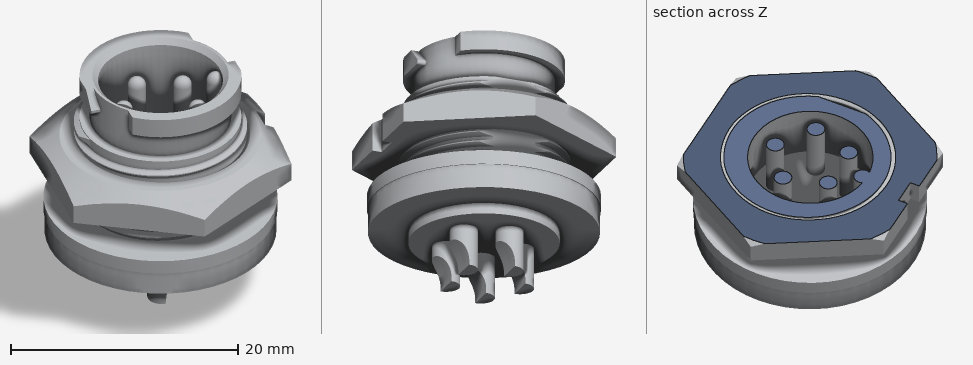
import cadquery as cq
import math

TAIL_BOTTOM = -8.3
BOSS_BOTTOM = -4.5
FLANGE_BOTTOM = -3.5
FLANGE_STEP = -1.3
NUT_BOTTOM = 3.12
NUT_TOP = 6.51
THREAD_TOP = 8.43
RING_BOTTOM = 11.0
RIM_TOP = TAIL_BOTTOM + 21.11

FLANGE_RADIUS = 10.31
FLANGE_LOWER_RADIUS = 10.22
BOSS_RADIUS = 6.67
ROOT_RADIUS = 7.13
NECK_RADIUS = 6.24
RING_RADIUS = 7.13
BORE_RADIUS = 5.5
BORE_FLOOR = 0.0
BORE_CHAMFER = 0.5

PITCH = 0.94
CREST_RADIUS = 7.63
CREST_WIDTH = 0.1
FLANK_ANGLE = 30.0
HOUSING_THREAD_TURNS = 9
THREAD_END_X = 1.3
THREAD_END_Z = THREAD_TOP - 0.43
THREAD_OVERLAP = 0.15
THREAD_FLAT_X = -6.87

RING_FLAT_Y = 6.94
GAP_END_Y = 4.55
CATCH_WIDTH = 1.37
CATCH_TIP_HEIGHT = 0.4
CATCH_TIP_ROUND = 0.2

CONTACT_COUNT = 5
CONTACT_CIRCLE_RADIUS = 3.43
CONTACT_RADIUS = 0.8
CONTACT_TOP = RIM_TOP - 2.06
KEY_Y = 5.15
KEY_TOP = RIM_TOP - 0.87
TAIL_RADIUS = 1.25
TAIL_CUT_RADIUS = 2.6
TAIL_CUT_CENTRE_Z = TAIL_BOTTOM + 0.35

PIT_X = -1.17
PIT_Y = 4.28
PIT_SIZE = 0.2

NUT_ACROSS_CORNERS = 23.46
NUT_TOP_RADIUS = 8.9
NUT_CHAMFER_ANGLE = 30.0
NUT_BORE_RADIUS = 7.5
NUT_GROOVE_RADIUS = 7.88
NUT_THREAD_TURNS = 6
NOTCH_WIDTH = 2.3
NOTCH_FLOOR_Y = 9.28


def cylinder(radius, bottom, top):
    return cq.Workplane("XY", origin=(0, 0, bottom)).circle(radius).extrude(top - bottom)


def make_turned_shell():
    shell = cylinder(FLANGE_RADIUS, FLANGE_STEP, 0)
    shell = shell.union(cylinder(FLANGE_LOWER_RADIUS, FLANGE_BOTTOM, FLANGE_STEP))
    shell = shell.union(cylinder(BOSS_RADIUS, BOSS_BOTTOM, FLANGE_BOTTOM))
    shell = shell.union(cylinder(ROOT_RADIUS, 0, THREAD_TOP))
    return shell.union(cylinder(NECK_RADIUS, THREAD_TOP, RIM_TOP))


def make_helical_thread(base_radius, crest_radius, turns):
    """Helical ridge on a cylinder of base_radius, sunk a little below it, ending on the -Y side."""
    height = turns * PITCH
    sunk_radius = base_radius - THREAD_OVERLAP
    half_crest = CREST_WIDTH / 2
    half_base = half_crest + (crest_radius - sunk_radius) * math.tan(math.radians(FLANK_ANGLE))
    helix = cq.Wire.makeHelix(PITCH, height, base_radius)
    ridge = (
        cq.Workplane("XZ")
        .moveTo(sunk_radius, -half_base)
        .lineTo(crest_radius, -half_crest)
        .lineTo(crest_radius, half_crest)
        .lineTo(sunk_radius, half_base)
        .close()
        .sweep(cq.Workplane(obj=helix), isFrenet=True)
    )
    end_angle = math.degrees(math.asin(THREAD_END_X / ROOT_RADIUS)) - 90
    return ridge.rotate((0, 0, 0), (0, 0, 1), end_angle).translate((0, 0, THREAD_END_Z - height))


def make_housing_thread():
    """Ridge that starts inside the flange and runs out to the root on the -Y side."""
    ridge = make_helical_thread(ROOT_RADIUS, CREST_RADIUS, HOUSING_THREAD_TURNS)

    end_y = -math.sqrt(ROOT_RADIUS**2 - THREAD_END_X**2)
    outside_y = end_y - 2 * (CREST_RADIUS - ROOT_RADIUS)
    runout = (
        cq.Workplane("XY", origin=(0, 0, THREAD_END_Z - PITCH / 2))
        .moveTo(0, -CREST_RADIUS)
        .lineTo(THREAD_END_X, end_y)
        .lineTo(2 * THREAD_END_X, end_y)
        .lineTo(2 * THREAD_END_X, outside_y)
        .lineTo(0, outside_y)
        .close()
        .extrude(PITCH)
    )
    return ridge.cut(runout)


def make_thread_flat_cut():
    width = 2 * CREST_RADIUS
    return cq.Workplane("XY").box(width, width, THREAD_TOP, centered=(True, True, False)).translate(
        (THREAD_FLAT_X - width / 2, 0, 0)
    )


def make_ring_gap():
    """Gap on the +Y side, from the catch at its right end to the flat segment end at its left."""
    round_inset = CATCH_TIP_ROUND * (1 - math.sqrt(0.5))
    slope = (
        cq.Workplane("XZ")
        .moveTo(0, RIM_TOP)
        .lineTo(-CATCH_WIDTH, RING_BOTTOM + CATCH_TIP_HEIGHT)
        .lineTo(-CATCH_WIDTH, RING_BOTTOM + CATCH_TIP_ROUND)
        .threePointArc(
            (-CATCH_WIDTH + round_inset, RING_BOTTOM + round_inset),
            (-CATCH_WIDTH + CATCH_TIP_ROUND, RING_BOTTOM),
        )
        .lineTo(-RING_RADIUS, RING_BOTTOM)
        .lineTo(-RING_RADIUS, RIM_TOP)
        .close()
        .extrude(-2 * RING_RADIUS)
    )
    beyond_end = cq.Workplane("XY", origin=(0, GAP_END_Y, RING_BOTTOM)).box(
        4 * RING_RADIUS, RING_RADIUS, RIM_TOP - RING_BOTTOM, centered=(True, False, False)
    )
    return slope.intersect(beyond_end)


def make_bayonet_ring():
    height = RIM_TOP - RING_BOTTOM
    ring = cylinder(RING_RADIUS, RING_BOTTOM, RIM_TOP)
    ring = ring.intersect(
        cq.Workplane("XY", origin=(0, 0, RING_BOTTOM)).box(
            2 * RING_RADIUS, 2 * RING_FLAT_Y, height, centered=(True, True, False)
        )
    )
    for turn in (0, 180):
        ring = ring.cut(make_ring_gap().rotate((0, 0, 0), (0, 0, 1), turn))
    return ring


def make_bore():
    bore = cylinder(BORE_RADIUS, BORE_FLOOR, RIM_TOP)
    mouth = (
        cq.Workplane("XY", origin=(0, 0, RIM_TOP))
        .circle(BORE_RADIUS + BORE_CHAMFER)
        .workplane(offset=-BORE_CHAMFER)
        .circle(BORE_RADIUS)
        .loft()
    )
    return bore.union(mouth)


def make_domed_pin(x, y, top):
    pin = cylinder(CONTACT_RADIUS, BORE_FLOOR, top - CONTACT_RADIUS)
    dome = cq.Workplane("XY", origin=(0, 0, top - CONTACT_RADIUS)).sphere(CONTACT_RADIUS)
    return pin.union(dome).translate((x, y, 0))


def make_solder_tail(x, y):
    """Round tail whose +Y half is scooped away towards the free end."""
    tail = cylinder(TAIL_RADIUS, TAIL_BOTTOM, BOSS_BOTTOM)
    middle = TAIL_CUT_RADIUS * math.sqrt(0.5)
    scoop = (
        cq.Workplane("YZ", origin=(-TAIL_RADIUS, 0, 0))
        .moveTo(0, TAIL_BOTTOM)
        .lineTo(0, TAIL_CUT_CENTRE_Z)
        .threePointArc(
            (TAIL_CUT_RADIUS - middle, TAIL_CUT_CENTRE_Z + middle),
            (TAIL_CUT_RADIUS, TAIL_CUT_CENTRE_Z + TAIL_CUT_RADIUS),
        )
        .lineTo(TAIL_CUT_RADIUS, TAIL_BOTTOM)
        .close()
        .extrude(2 * TAIL_RADIUS)
    )
    return tail.cut(scoop).translate((x, y, 0))


def make_index_pit():
    return cq.Workplane("XY", origin=(PIT_X, PIT_Y, BORE_FLOOR)).rect(PIT_SIZE, PIT_SIZE).extrude(-PIT_SIZE)


def make_housing():
    housing = make_turned_shell().union(make_housing_thread())
    housing = housing.cut(make_thread_flat_cut())
    housing = housing.union(make_bayonet_ring())
    housing = housing.cut(make_bore()).cut(make_index_pit())
    for index in range(CONTACT_COUNT):
        angle = math.radians(-90 + index * 360 / CONTACT_COUNT)
        x = CONTACT_CIRCLE_RADIUS * math.cos(angle)
        y = CONTACT_CIRCLE_RADIUS * math.sin(angle)
        housing = housing.union(make_domed_pin(x, y, CONTACT_TOP))
        housing = housing.union(make_solder_tail(x, y))
    return housing.union(make_domed_pin(0, KEY_Y, KEY_TOP))


def make_nut():
    """Hexagon nut whose thread groove follows the housing thread with clearance all round."""
    height = NUT_TOP - NUT_BOTTOM
    corner_radius = NUT_ACROSS_CORNERS / 2
    corner_drop = (corner_radius - NUT_TOP_RADIUS) * math.tan(math.radians(NUT_CHAMFER_ANGLE))
    hexagon = cq.Workplane("XY", origin=(0, 0, NUT_BOTTOM)).polygon(6, NUT_ACROSS_CORNERS).extrude(height)
    chamfered_blank = (
        cq.Workplane("XZ")
        .moveTo(0, NUT_BOTTOM)
        .lineTo(corner_radius, NUT_BOTTOM)
        .lineTo(corner_radius, NUT_TOP - corner_drop)
        .lineTo(NUT_TOP_RADIUS, NUT_TOP)
        .lineTo(0, NUT_TOP)
        .close()
        .revolve(360, (0, 0, 0), (0, 1, 0))
    )
    notch = cq.Workplane("XY", origin=(0, NOTCH_FLOOR_Y, NUT_BOTTOM)).box(
        NOTCH_WIDTH, corner_radius - NOTCH_FLOOR_Y, height, centered=(True, False, False)
    )
    bore = cylinder(NUT_BORE_RADIUS, NUT_BOTTOM, NUT_TOP)
    groove = make_helical_thread(NUT_BORE_RADIUS, NUT_GROOVE_RADIUS, NUT_THREAD_TURNS)
    return hexagon.intersect(chamfered_blank).cut(notch).cut(groove).cut(bore)


housing = make_housing()
nut = make_nut()
result = cq.Compound.makeCompound([housing.solids().val(), nut.solids().val()])